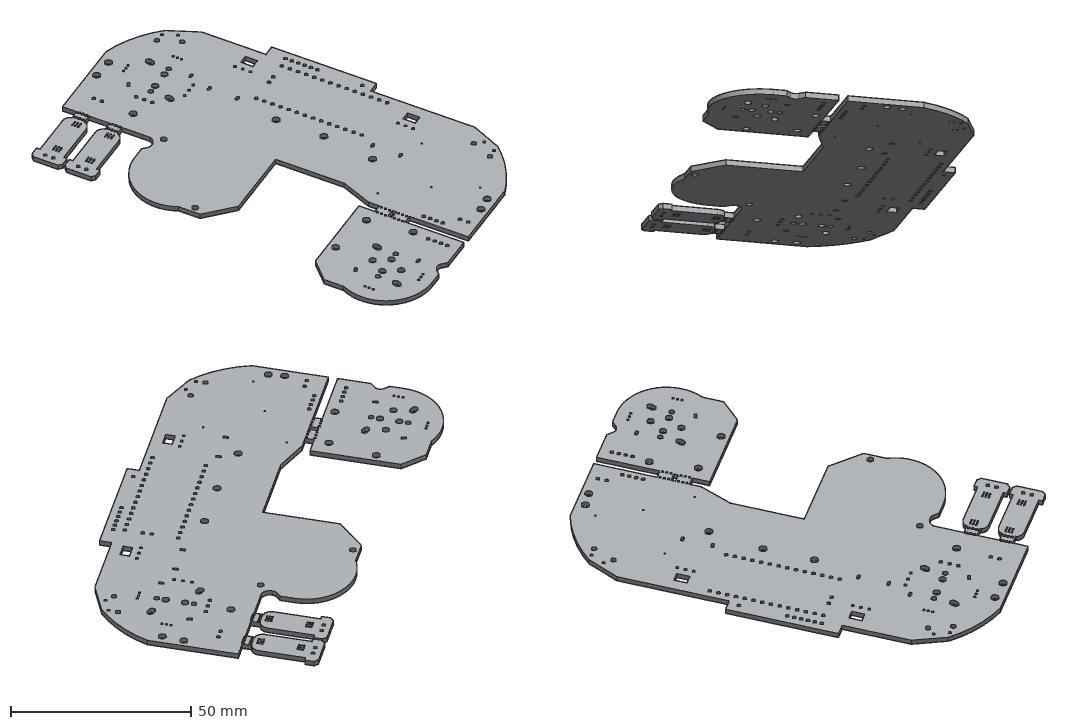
import math

import cadquery as cq

length = 125.0
width = 80.87
thickness = 1.6

edge_x = length / 2
top_y = width / 2

tab_left_x = -22.7
tab_right_x = 10.15
shoulder_y = 36.95
shoulder_x = 42.8
corner_start = (52.2, 32.75)
corner_middle = (58.35, 25.8)
corner_end_y = 17.3
right_edge_y = -4.5
slope_start_x = 21.6
slope_end_x = 31.2
recess_y = -0.65
left_edge_y = -8.7

lobe_center = (-20.9, -18.25)
lobe_radius = 14.0
lobe_left_x = lobe_center[0] - lobe_radius
lobe_right_x = 0.1
lobe_flat_y = -30.72
lobe_flat_end_x = -7.8

notch_radius = 1.95
lobe_notch_center = (-35.1, -11.45)
lobe_notch_middle = (-33.8, -9.5)
button_notch_center = (62.55, -19.35)

button_left_x = 29.6
button_top_y = -7.1
button_flat_y = -38.9
button_chamfer = 5.8
button_round_radius = 14.5
button_round_center = (edge_x - button_round_radius, button_round_radius - top_y)

stick_centers_x = (-56.05, -45.75)
stick_top_y = -11.5
stick_top_half_width = 2.3
stick_half_width = 3.72
stick_shoulder_y = -13.9
stick_shoulder_middle = (3.3, -12.45)
flange_half_width = 4.8
flange_top_y = -27.25
flange_bottom_y = -30.9
flange_chamfer = 1.0

overlap = 0.2
stick_bridge_width = 3.85
stick_bite_pitch = 1.15
stick_bite_rows = (-8.78, -10.88)
button_bridge_centers_x = (36.67, 42.05)
button_bridge_width = 4.1
button_bite_pitch = 1.27
button_bite_rows = (-4.75, -7.1)
bites_per_row = 3
stick_bite_diameter = 0.8
button_bite_diameter = 0.6

via_diameter = 0.4
small_pin_diameter = 0.6
connector_diameter = 0.8
pin_diameter = 1.0
peg_diameter = 1.5
guide_diameter = 1.8
stem_diameter = 2.0
screw_diameter = 2.2

header_pitch = 2.54
connector_pitch = 2.0
sensor_pitch = 1.3
slide_switch_pitch = 2.4

header_count = 14
header_rows_y = (34.7, 19.45)
header_column_x = -16.5
header_column_y = 28.3

slot_length = 1.6
slot_width = 0.8
window_length = 3.8
window_width = 2.7
window_x = 25.42
window_y = 32.15

main_switch_center = (-43.77, 13.75)
board_switch_center = (48.0, -25.45)
stem_offset = 2.75
peg_offset = 5.3
wide_slot_offset = (5.95, 5.48)
wide_slot_length = 2.8
wide_slot_width = 1.8
wide_slot_angle = -20
narrow_slot_offset = (6.83, 5.68)
upper_slot_angle = 90
lower_slot_angle = 110
side_stem_offset = 4.48

switch_pin_y = 4.5
left_pair_center = (-55.13, -1.57)
right_pair_center = (58.3, 0.96)
tab_row_center = (-12.05, 37.9)
tab_single_pin = (7.07, 37.9)
main_connector_center = (50.55, -2.6)
side_column_x = -34.59
main_sensor_x = -54.4
main_sensor_y = 24.3
slide_switch_center = (25.5, 28.5)
shoulder_switch_pins = [(47.97, 32.7), (52.05, 30.8)]
shoulder_switch_pegs = [(45.72, 30.8), (52.2, 28.1)]
narrow_slot_centers = [(29.98, 17.0), (21.2, 17.0)]
paired_screws = [(7.47, 14.1), (60.22, 7.42)]
single_screws = [(-59.8, 13.65), (59.76, 12.0), (23.85, 12.0), (-43.77, -2.1)]
single_vias = [(32.87, 24.1), (55.8, 15.3), (43.77, 9.15), (31.75, 0.0)]
lobe_guides = [(-31.32, -7.6), (-10.3, -28.9)]

board_connector_center = (56.03, -10.38)
board_sensor_x = 58.65
board_sensor_y = -36.1
board_screws = [(31.97, -25.46), (34.24, -11.42), (48.0, -9.8)]

via_group_rows_y = (-13.4, -24.9)
via_group_offset_x = 0.47
vias_per_side = 3
via_pitch_x = 0.9
via_pitch_y = 0.75
stick_pin_y = -28.75


def plate(sketch):
    return sketch.extrude(thickness)


def box(center_x, center_y, size_x, size_y):
    return plate(cq.Workplane("XY").center(center_x, center_y).rect(size_x, size_y))


def drill(points, diameter):
    return plate(cq.Workplane("XY").pushPoints(points).circle(diameter / 2))


def slot(center, full_length, full_width, angle):
    return plate(cq.Workplane("XY").center(*center).slot2D(full_length, full_width, angle))


def row_x(center_x, y, count, pitch):
    return [(center_x + (i - (count - 1) / 2) * pitch, y) for i in range(count)]


def row_y(x, center_y, count, pitch):
    return [(x, center_y + (i - (count - 1) / 2) * pitch) for i in range(count)]


def mirrored(points):
    return points + [(-x, y) for x, y in points]


def on_circle(center, radius, degrees):
    angle = math.radians(degrees)
    return (center[0] + radius * math.cos(angle), center[1] + radius * math.sin(angle))


def main_board():
    lobe_dip = lobe_center[1] - lobe_flat_y
    lobe_round_end_x = lobe_center[0] + math.sqrt(lobe_radius**2 - lobe_dip**2)
    notch_side = on_circle(lobe_notch_center, notch_radius, 0)
    notch_tangent = on_circle(lobe_notch_center, notch_radius, -45)
    notch_end_y = notch_tangent[1] - (notch_tangent[0] - lobe_left_x)
    return plate(
        cq.Workplane("XY")
        .moveTo(tab_left_x, top_y)
        .lineTo(tab_right_x, top_y)
        .lineTo(tab_right_x, shoulder_y)
        .lineTo(shoulder_x, shoulder_y)
        .lineTo(*corner_start)
        .threePointArc(corner_middle, (edge_x, corner_end_y))
        .lineTo(edge_x, right_edge_y)
        .lineTo(slope_end_x, right_edge_y)
        .lineTo(slope_start_x, recess_y)
        .lineTo(lobe_right_x, recess_y)
        .lineTo(lobe_right_x, lobe_flat_y + lobe_right_x - lobe_flat_end_x)
        .lineTo(lobe_flat_end_x, lobe_flat_y)
        .lineTo(lobe_round_end_x, lobe_flat_y)
        .threePointArc(on_circle(lobe_center, lobe_radius, 225), (lobe_left_x, lobe_center[1]))
        .lineTo(lobe_left_x, notch_end_y)
        .lineTo(*notch_tangent)
        .threePointArc(on_circle(lobe_notch_center, notch_radius, -22.5), notch_side)
        .threePointArc(lobe_notch_middle, (lobe_notch_center[0], left_edge_y))
        .lineTo(-edge_x, left_edge_y)
        .lineTo(-edge_x, corner_end_y)
        .threePointArc((-corner_middle[0], corner_middle[1]), (-corner_start[0], corner_start[1]))
        .lineTo(-shoulder_x, shoulder_y)
        .lineTo(tab_left_x, shoulder_y)
        .close()
    )


def button_board():
    upper_tangent = on_circle(button_notch_center, notch_radius, 135)
    lower_tangent = on_circle(button_notch_center, notch_radius, 225)
    notch_reach = edge_x - upper_tangent[0]
    round_dip = button_round_center[1] - button_flat_y
    round_end_x = button_round_center[0] - math.sqrt(button_round_radius**2 - round_dip**2)
    return plate(
        cq.Workplane("XY")
        .moveTo(button_left_x, button_top_y)
        .lineTo(edge_x, button_top_y)
        .lineTo(edge_x, upper_tangent[1] + notch_reach)
        .lineTo(*upper_tangent)
        .threePointArc(on_circle(button_notch_center, notch_radius, 180), lower_tangent)
        .lineTo(edge_x, lower_tangent[1] - notch_reach)
        .lineTo(edge_x, button_round_center[1])
        .threePointArc(
            on_circle(button_round_center, button_round_radius, -60),
            (button_round_center[0], -top_y),
        )
        .threePointArc(
            on_circle(button_round_center, button_round_radius, -105),
            (round_end_x, button_flat_y),
        )
        .lineTo(button_left_x + button_chamfer, button_flat_y)
        .lineTo(button_left_x, button_flat_y + button_chamfer)
        .close()
    )


def stick(center_x):
    outline = (
        cq.Workplane("XY")
        .center(center_x, 0)
        .moveTo(-stick_top_half_width, stick_top_y)
        .lineTo(stick_top_half_width, stick_top_y)
        .threePointArc(stick_shoulder_middle, (stick_half_width, stick_shoulder_y))
        .lineTo(stick_half_width, flange_top_y)
        .lineTo(flange_half_width, flange_top_y)
        .lineTo(flange_half_width, flange_bottom_y + flange_chamfer)
        .lineTo(flange_half_width - flange_chamfer, flange_bottom_y)
        .lineTo(flange_chamfer - flange_half_width, flange_bottom_y)
        .lineTo(-flange_half_width, flange_bottom_y + flange_chamfer)
        .lineTo(-flange_half_width, flange_top_y)
        .lineTo(-stick_half_width, flange_top_y)
        .lineTo(-stick_half_width, stick_shoulder_y)
        .threePointArc(
            (-stick_shoulder_middle[0], stick_shoulder_middle[1]),
            (-stick_top_half_width, stick_top_y),
        )
        .close()
    )
    return plate(outline)


def bridge(center_x, bridge_width, upper_y, lower_y):
    center_y = (upper_y + lower_y) / 2
    return box(center_x, center_y, bridge_width, upper_y - lower_y + 2 * overlap)


def bites(center_x, rows_y, pitch, diameter):
    points = []
    for y in rows_y:
        points += row_x(center_x, y, bites_per_row, pitch)
    return drill(points, diameter)


def push_switch_holes(center):
    x, y = center
    stems = row_y(x, y, 2, 2 * stem_offset)
    pegs = row_y(x, y, 2, 2 * peg_offset)
    cutters = [drill(stems, stem_diameter), drill(pegs, peg_diameter)]
    for side, narrow_angle in ((1, upper_slot_angle), (-1, lower_slot_angle)):
        wide_center = (x - side * wide_slot_offset[0], y + side * wide_slot_offset[1])
        narrow_center = (x + side * narrow_slot_offset[0], y + side * narrow_slot_offset[1])
        cutters.append(slot(wide_center, wide_slot_length, wide_slot_width, wide_slot_angle))
        cutters.append(slot(narrow_center, slot_length, slot_width, narrow_angle))
    return cutters


def header_holes():
    pins = row_y(header_column_x, header_column_y, 2, header_pitch)
    for y in header_rows_y:
        pins += row_x(0, y, header_count, header_pitch)
    return drill(pins, pin_diameter)


def main_board_holes():
    switch_x, switch_y = main_switch_center
    pins = row_x(switch_x, switch_pin_y, 3, header_pitch)
    pins += row_x(*left_pair_center, 2, header_pitch)
    pins += row_x(*right_pair_center, 2, header_pitch)
    pins += row_x(*tab_row_center, 6, connector_pitch) + [tab_single_pin]
    pins += row_x(*main_connector_center, 4, connector_pitch)
    shoulder_pins = row_x(*slide_switch_center, 3, slide_switch_pitch) + shoulder_switch_pins
    connectors = mirrored(shoulder_pins) + row_y(side_column_x, switch_y, 3, header_pitch)
    sensors = row_x(switch_x, main_sensor_y, 3, sensor_pitch)
    sensors += row_y(main_sensor_x, switch_y, 3, sensor_pitch)
    cutters = [
        drill(pins, pin_diameter),
        drill(connectors, connector_diameter),
        drill(sensors, small_pin_diameter),
        drill(single_vias, via_diameter),
        drill(mirrored(shoulder_switch_pegs), peg_diameter),
        drill(lobe_guides, guide_diameter),
        drill(mirrored(paired_screws) + single_screws, screw_diameter),
    ]
    for center in mirrored(narrow_slot_centers):
        cutters.append(slot(center, slot_length, slot_width, upper_slot_angle))
    for side in (-1, 1):
        cutters.append(box(side * window_x, window_y, window_length, window_width))
    return cutters + push_switch_holes(main_switch_center)


def button_board_holes():
    center_x, center_y = board_switch_center
    sensors = row_y(board_sensor_x, center_y, 3, sensor_pitch)
    sensors += row_x(center_x, board_sensor_y, 3, sensor_pitch)
    side_stems = row_x(center_x, center_y, 2, 2 * side_stem_offset)
    cutters = [
        drill(row_x(*board_connector_center, 4, connector_pitch), pin_diameter),
        drill(sensors, small_pin_diameter),
        drill(side_stems, stem_diameter),
        drill(board_screws, screw_diameter),
    ]
    return cutters + push_switch_holes(board_switch_center)


def stick_holes(center_x):
    vias = []
    for group_y in via_group_rows_y:
        for _, y in row_y(0, group_y, vias_per_side, via_pitch_y):
            vias += row_x(center_x + via_group_offset_x, y, vias_per_side, via_pitch_x)
    return [
        drill(vias, via_diameter),
        drill(row_x(center_x, stick_pin_y, 2, header_pitch), pin_diameter),
    ]


panel = main_board().union(button_board())
cutters = [header_holes()] + main_board_holes() + button_board_holes()

for stick_x in stick_centers_x:
    panel = panel.union(stick(stick_x))
    panel = panel.union(bridge(stick_x, stick_bridge_width, left_edge_y, stick_top_y))
    cutters.append(bites(stick_x, stick_bite_rows, stick_bite_pitch, stick_bite_diameter))
    cutters += stick_holes(stick_x)

for bridge_x in button_bridge_centers_x:
    panel = panel.union(bridge(bridge_x, button_bridge_width, right_edge_y, button_top_y))
    cutters.append(bites(bridge_x, button_bite_rows, button_bite_pitch, button_bite_diameter))

for cutter in cutters:
    panel = panel.cut(cutter)

result = panel